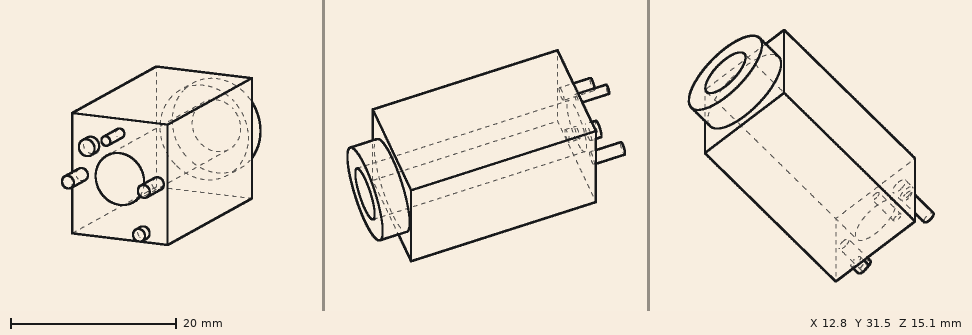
import cadquery as cq

body_width = 12.8
body_height = 15.1
body_length = 24.0

collar_diameter = 11.8
collar_length = 3.5
bore_diameter = 6.5

pin_length = 4.0
peg_length = 1.32
side_pin_diameter = 1.6
side_pin_offset = 5.07
top_pin_diameter = 1.2
top_pin_height = 5.73
large_peg_diameter = 2.1
large_peg_offset = 3.8
small_peg_diameter = 1.6
small_peg_x = 3.18
small_peg_z = -2 * small_peg_x


def cylinder_along_y(x, z, diameter, y_start, y_end):
    """Cylinder parallel to Y, running from y_start up to y_end."""
    return cq.Workplane(
        cq.Solid.makeCylinder(
            diameter / 2, y_end - y_start, cq.Vector(x, y_start, z), cq.Vector(0, 1, 0)
        )
    )


back_end = body_length + collar_length

body = cq.Workplane("XY").box(body_width, body_length, body_height, centered=(True, False, True))
collar = cylinder_along_y(0, 0, collar_diameter, body_length, back_end)
bore = cylinder_along_y(0, 0, bore_diameter, 0, back_end)
result = body.union(collar).cut(bore)

front_studs = [
    (-side_pin_offset, 0, side_pin_diameter, pin_length),
    (side_pin_offset, 0, side_pin_diameter, pin_length),
    (0, top_pin_height, top_pin_diameter, pin_length),
    (-large_peg_offset, large_peg_offset, large_peg_diameter, peg_length),
    (small_peg_x, small_peg_z, small_peg_diameter, peg_length),
]
for x, z, diameter, length in front_studs:
    result = result.union(cylinder_along_y(x, z, diameter, -length, 0))